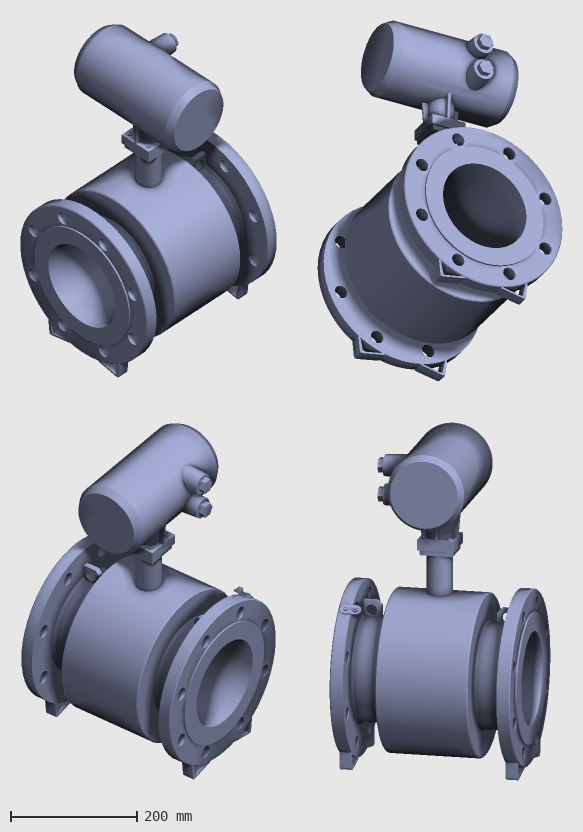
import cadquery as cq
import math


face_to_face = 300.0
bore_diameter = 150.0
pipe_diameter = 170.0
raised_face_diameter = 212.0
raised_face_height = 3.0
flange_diameter = 284.5
flange_thickness = 22.0
edge_break = 1.5
bolt_circle_diameter = 240.0
bolt_hole_diameter = 22.0
bolt_hole_count = 8
weld_length = 5.0
flange_weld_height = 4.0
body_weld_height = 2.5

body_diameter = 264.5
body_length = 150.0
body_edge_break = 1.5

lug_width = 9.0
lug_length = 31.0
lug_top = 113.0
lug_chamfer = 7.5
lug_root_depth = 5.5
lug_hole_diameter = 18.5
lug_hole_offset = 14.5
lug_hole_height = 97.0

foot_bottom = -148.0
foot_sheet = 3.0
foot_leg_top_x = 80.0
foot_leg_top_z = -118.5
foot_leg_end_x = 77.0
foot_heel_x = 76.0
foot_heel_width = 5.0
foot_sole_end_x = 33.0
foot_sole_end_z = -140.5

stem_diameter = 42.0
collar_side = 53.5
collar_bottom = 198.5
block_side = 60.0
block_bottom = 207.0
block_top = 224.5
block_screw_offset = 21.0

neck_diameter = 46.0
fin_width = 5.5
fin_slope = 0.085
fin_edge_radius = 2.0

total_height = 532.0
housing_diameter = 125.0
housing_left = -111.5
housing_right = 113.0
cap_length = 13.0
cap_rim_diameter = 113.0
cap_face_diameter = 110.0
cap_rim_width = 2.0

gland_x = -35.0
gland_spacing = 48.0
gland_root_y = 26.5
gland_root_diameter = 41.5
gland_end_y = 81.5
gland_end_diameter = 34.5
plug_end_y = 91.0
plug_across_flats = 22.0

screw_head_diameter = 8.0
screw_head_height = 2.5
screw_socket_diameter = 4.0
screw_socket_depth = 1.5

terminal_angle = 55.0
terminal_width = 18.0
terminal_far_y = 143.0
terminal_near_y = 109.0
terminal_thickness = 2.0
washer_diameter = 11.5
washer_thickness = 3.5
terminal_bolt_top_radius = 151.0

half_length = face_to_face / 2
flange_radius = flange_diameter / 2
pipe_radius = pipe_diameter / 2
flange_front = half_length - raised_face_height
flange_back = flange_front - flange_thickness
body_end = body_length / 2
housing_z = foot_bottom + total_height - housing_diameter / 2


def meter_run():
    """Body, pipe and both flanges, revolved about Y from a mirrored (radius, y) outline."""
    body_radius = body_diameter / 2
    raised_face_radius = raised_face_diameter / 2
    half_outline = [
        (body_radius, body_end - body_edge_break),
        (body_radius - body_edge_break, body_end),
        (pipe_radius + body_weld_height, body_end),
        (pipe_radius, body_end + weld_length),
        (pipe_radius, flange_back - weld_length),
        (pipe_radius + flange_weld_height, flange_back),
        (flange_radius, flange_back),
        (flange_radius, flange_front - edge_break),
        (flange_radius - edge_break, flange_front),
        (raised_face_radius, flange_front),
        (raised_face_radius, half_length),
        (0, half_length),
    ]
    mirrored_outline = [(radius, -y) for radius, y in reversed(half_outline)]
    return (
        cq.Workplane("XY")
        .polyline(mirrored_outline + half_outline)
        .close()
        .revolve(360, (0, 0, 0), (0, 1, 0))
    )


def bolt_holes():
    """Cutters for the bolt holes of the +Y flange, straddling the vertical axis."""
    return (
        cq.Workplane("XZ", origin=(0, half_length, 0))
        .polarArray(bolt_circle_diameter / 2, 180 / bolt_hole_count, 360, bolt_hole_count)
        .circle(bolt_hole_diameter / 2)
        .extrude(half_length - flange_back)
    )


def bore():
    return (
        cq.Workplane("XZ", origin=(0, half_length, 0))
        .circle(bore_diameter / 2)
        .extrude(face_to_face)
    )


def lifting_lug():
    """Lug standing on the pipe against the +Y flange."""
    lug_end = flange_back - lug_length
    lug_root = pipe_radius - lug_root_depth
    return (
        cq.Workplane("YZ", origin=(-lug_width / 2, 0, 0))
        .moveTo(flange_back, lug_root)
        .lineTo(flange_back, lug_top)
        .lineTo(lug_end + lug_chamfer, lug_top)
        .lineTo(lug_end, lug_top - lug_chamfer)
        .lineTo(lug_end, lug_root)
        .close()
        .moveTo(flange_back - lug_hole_offset, lug_hole_height)
        .circle(lug_hole_diameter / 2)
        .extrude(lug_width)
    )


def foot():
    """Bent sheet foot with a blunt heel, under the +Y flange on the +X side."""
    foot_width = flange_thickness - edge_break
    heel_inner_x = foot_heel_x - foot_heel_width
    return (
        cq.Workplane("XZ", origin=(0, flange_back + foot_width, 0))
        .moveTo(foot_leg_top_x, foot_leg_top_z)
        .lineTo(foot_leg_end_x, foot_bottom + foot_sheet)
        .lineTo(foot_heel_x, foot_bottom)
        .lineTo(heel_inner_x, foot_bottom)
        .lineTo(foot_sole_end_x, foot_sole_end_z)
        .lineTo(foot_sole_end_x, foot_sole_end_z + foot_sheet)
        .lineTo(heel_inner_x, foot_bottom + foot_sheet)
        .lineTo(foot_leg_top_x - foot_sheet, foot_leg_top_z)
        .close()
        .extrude(foot_width)
    )


def socket_screw():
    """Screw head standing on the XY plane, with a round socket in its top."""
    return (
        cq.Workplane("XY")
        .circle(screw_head_diameter / 2)
        .extrude(screw_head_height)
        .faces(">Z")
        .workplane()
        .hole(screw_socket_diameter, screw_socket_depth)
    )


def stem():
    shaft = cq.Workplane("XY").workplane(offset=pipe_radius)
    shaft = shaft.circle(stem_diameter / 2).extrude(block_bottom - pipe_radius)
    collar = cq.Workplane("XY").workplane(offset=collar_bottom)
    collar = collar.rect(collar_side, collar_side).extrude(block_bottom - collar_bottom)
    block = cq.Workplane("XY").workplane(offset=block_bottom)
    block = block.rect(block_side, block_side).extrude(block_top - block_bottom)
    post = shaft.union(collar).union(block)
    for x in (-block_screw_offset, block_screw_offset):
        for y in (-block_screw_offset, block_screw_offset):
            post = post.union(socket_screw().translate((x, y, block_top)))
    return post


def neck():
    """Round neck with four tapered, round-edged fins, from the block into the housing."""
    height = housing_z - block_top
    column = cq.Workplane("XY").workplane(offset=block_top)
    column = column.circle(neck_diameter / 2).extrude(height)
    base_reach = block_side / 2
    top_reach = base_reach + fin_slope * height
    fin = (
        cq.Workplane("XZ", origin=(0, fin_width / 2, 0))
        .moveTo(0, block_top)
        .lineTo(base_reach, block_top)
        .lineTo(top_reach, housing_z)
        .lineTo(0, housing_z)
        .close()
        .extrude(fin_width)
        .faces(">X")
        .edges("not |Y")
        .fillet(fin_edge_radius)
    )
    for quarter in range(4):
        column = column.union(fin.rotate((0, 0, 0), (0, 0, 1), 90 * quarter))
    return column


def housing():
    radius = housing_diameter / 2
    rim_radius = cap_rim_diameter / 2
    face_radius = cap_face_diameter / 2
    return (
        cq.Workplane("XY")
        .moveTo(housing_left, 0)
        .lineTo(housing_left, face_radius)
        .lineTo(housing_left + cap_rim_width, rim_radius)
        .lineTo(housing_left + cap_length, radius)
        .lineTo(housing_right - cap_length, radius)
        .lineTo(housing_right - cap_rim_width, rim_radius)
        .lineTo(housing_right, face_radius)
        .lineTo(housing_right, 0)
        .close()
        .revolve(360, (0, 0, 0), (1, 0, 0))
        .translate((0, 0, housing_z))
    )


def cable_gland(z):
    """Tapered gland with a hexagon plug, pointing along +Y."""
    cone = (
        cq.Workplane("XY")
        .moveTo(0, gland_root_y)
        .lineTo(gland_root_diameter / 2, gland_root_y)
        .lineTo(gland_end_diameter / 2, gland_end_y)
        .lineTo(0, gland_end_y)
        .close()
        .revolve(360, (0, 0, 0), (0, 1, 0))
    )
    across_corners = plug_across_flats / math.cos(math.pi / 6)
    plug = cq.Workplane("XZ", origin=(0, plug_end_y, 0))
    plug = plug.polygon(6, across_corners).extrude(plug_end_y - gland_end_y)
    return cone.union(plug).translate((gland_x, 0, z))


def ground_terminal():
    """Tab lying on the flange rim, with a socket screw and a washered bolt."""
    length = terminal_far_y - terminal_near_y
    middle_y = (terminal_far_y + terminal_near_y) / 2
    end_spacing = length - terminal_width
    tab_top = flange_radius + terminal_thickness
    seat = math.sqrt(flange_radius**2 - (terminal_width / 2) ** 2)
    tab = (
        cq.Workplane("XY", origin=(0, middle_y, seat))
        .slot2D(length, terminal_width, 90)
        .extrude(tab_top - seat)
    )
    screw = socket_screw().translate((0, middle_y + end_spacing / 2, tab_top))
    bolt_y = middle_y - end_spacing / 2
    washer = cq.Workplane("XY", origin=(0, bolt_y, tab_top))
    washer = washer.circle(washer_diameter / 2).extrude(washer_thickness)
    bolt = cq.Workplane("XY", origin=(0, bolt_y, tab_top))
    bolt = bolt.circle(screw_head_diameter / 2).extrude(terminal_bolt_top_radius - tab_top)
    terminal = tab.union(screw).union(washer).union(bolt)
    return terminal.rotate((0, 0, 0), (0, 1, 0), terminal_angle - 90)


holes = bolt_holes()
result = meter_run().cut(holes).cut(holes.mirror("XZ"))

lug = lifting_lug()
result = result.union(lug).union(lug.mirror("XZ"))

right_foot = foot()
foot_pair = right_foot.union(right_foot.mirror("YZ"))
result = result.union(foot_pair).union(foot_pair.mirror("XZ"))

result = result.union(stem()).union(neck()).union(housing())
for side in (-1, 1):
    result = result.union(cable_gland(housing_z + side * gland_spacing / 2))

result = result.union(ground_terminal())
result = result.cut(bore())